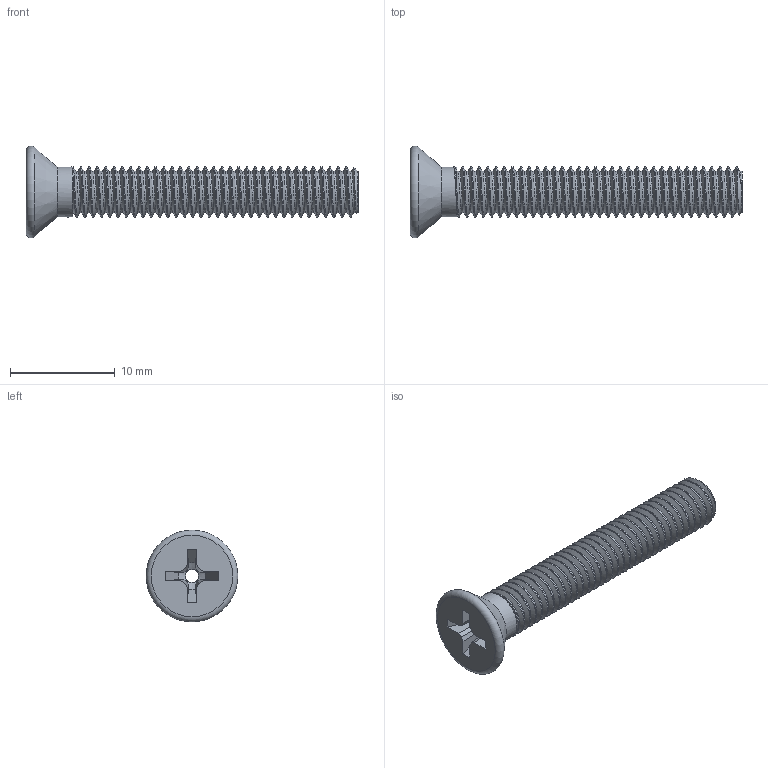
import cadquery as cq
import math


INCH = 25.4
total_length = 1.25 * INCH
head_diameter = 8.78
head_cone_half_angle = math.radians(82 / 2)
rim_radius = 0.5

pitch = INCH / 32
major_radius = 0.19 * INCH / 2
crest_width = pitch / 8
root_width = pitch / 4
flank_width = (pitch - crest_width - root_width) / 2
thread_depth = flank_width / math.tan(math.radians(30))
root_radius = major_radius - thread_depth
crest_x_at_plus_y = 5.04
start_turns = 1.25
turns_per_piece = 1
root_embed = 0.05
tip_radius = root_radius - 0.04

shank_radius = 2.38
shank_end = 4.45

wing_span = 5.16
wing_width = 0.93
wing_bottom_width = 0.65
wing_end_half_angle = math.radians(26.5)
wing_end_inner_radius = 1.27
recess_cone_half_angle = math.radians(62)
bore_diameter = 1.25
core_reach = 1.1
core_corner = 0.67
core_bottom_reach = 0.88
core_bottom_corner = 0.47


def head_and_shank():
    """Revolve the countersunk head with its rounded rim, and the plain shank."""
    rim_center_r = head_diameter / 2 - rim_radius
    tangent_x = rim_radius * (1 + math.sin(head_cone_half_angle))
    tangent_r = rim_center_r + rim_radius * math.cos(head_cone_half_angle)
    cone_end = tangent_x + (tangent_r - shank_radius) / math.tan(head_cone_half_angle)
    return (
        cq.Workplane("XY")
        .lineTo(0, rim_center_r)
        .threePointArc((rim_radius, head_diameter / 2), (tangent_x, tangent_r))
        .lineTo(cone_end, shank_radius)
        .lineTo(shank_end, shank_radius)
        .lineTo(shank_end, 0)
        .close()
        .revolve(360, (0, 0, 0), (1, 0, 0))
    )


def ridge_piece():
    """Build a short right-hand helical ridge about Z, from four ruled faces and two flat ends."""
    base_radius = root_radius - root_embed
    base_half = crest_width / 2 + flank_width * (1 + root_embed / thread_depth)
    section = [
        (-base_half, base_radius),
        (-crest_width / 2, major_radius),
        (crest_width / 2, major_radius),
        (base_half, base_radius),
    ]
    helices = [
        cq.Wire.makeHelix(pitch, turns_per_piece * pitch, radius).translate(cq.Vector(0, 0, offset))
        for offset, radius in section
    ]
    next_helices = helices[1:] + helices[:1]
    faces = [cq.Face.makeRuledSurface(a, b) for a, b in zip(helices, next_helices)]
    for end in (0, 1):
        corners = [helix.positionAt(end) for helix in helices]
        faces.append(cq.Face.makeFromWires(cq.Wire.makePolygon(corners, close=True)))
    return cq.Solid.makeSolid(cq.Shell.makeShell(faces))


def thread_envelope():
    """Outer limit of the threaded rod, with a 45 degree taper down to the root at the tip."""
    outer_radius = major_radius + root_embed
    return (
        cq.Workplane("XY")
        .lineTo(0, outer_radius)
        .lineTo(total_length - (outer_radius - tip_radius), outer_radius)
        .lineTo(total_length, tip_radius)
        .lineTo(total_length, 0)
        .close()
        .revolve(360, (0, 0, 0), (1, 0, 0))
        .val()
    )


def thread_pieces():
    """Line up ridge pieces end to end along X; the last two are trimmed by the tapered tip."""
    start_x = crest_x_at_plus_y - start_turns * pitch
    piece_length = turns_per_piece * pitch
    piece_count = math.ceil((total_length - start_x) / piece_length)

    axis_to_x = cq.Plane(origin=(start_x, 0, 0), xDir=(0, 1, 0), normal=(1, 0, 0))
    first = ridge_piece().moved(cq.Location(axis_to_x))
    first = first.rotate(cq.Vector(0, 0, 0), cq.Vector(1, 0, 0), -360 * start_turns)

    pieces = [first.moved(cq.Location(cq.Vector(i * piece_length, 0, 0))) for i in range(piece_count)]
    envelope = thread_envelope()
    trimmed = [piece.intersect(envelope) for piece in pieces[-2:]]
    return pieces[:-2] + trimmed


def core_cylinder():
    """Rod at the thread root, running the full length of the screw."""
    return cq.Workplane("YZ").circle(root_radius).extrude(total_length)


def core_outline(reach, half_width, corner):
    """Corner points, in order around the axis, of the recess middle with two facets per corner."""
    points = []
    for sign_y, sign_z in ((1, 1), (-1, 1), (-1, -1), (1, -1)):
        corner_points = [(reach, half_width), (corner, corner), (half_width, reach)]
        if sign_y != sign_z:
            corner_points.reverse()
        points += [(sign_y * y, sign_z * z) for y, z in corner_points]
    return points


def cross_recess():
    """Tapered four-wing recess with faceted inner corners and a conical bottom."""
    wing_depth = (wing_span / 2 - wing_end_inner_radius) / math.tan(wing_end_half_angle)
    bottom_drop = (wing_end_inner_radius - bore_diameter / 2) / math.tan(recess_cone_half_angle)
    depth = wing_depth + bottom_drop
    bottom_span = wing_span - 2 * depth * math.tan(wing_end_half_angle)
    wing = (
        cq.Workplane("YZ")
        .rect(wing_span, wing_width)
        .workplane(offset=depth)
        .rect(bottom_span, wing_bottom_width)
        .loft(ruled=True)
    )
    core = (
        cq.Workplane("YZ")
        .polyline(core_outline(core_reach, wing_width / 2, core_corner))
        .close()
        .workplane(offset=depth)
        .polyline(core_outline(core_bottom_reach, wing_bottom_width / 2, core_bottom_corner))
        .close()
        .loft(ruled=True)
    )
    cross = wing.union(wing.rotate((0, 0, 0), (1, 0, 0), 90)).union(core)
    cone_mouth_radius = bore_diameter / 2 + depth * math.tan(recess_cone_half_angle)
    bottom_limit = cq.Workplane(
        cq.Solid.makeCone(
            cone_mouth_radius, bore_diameter / 2, depth, cq.Vector(0, 0, 0), cq.Vector(1, 0, 0)
        )
    )
    return cross.intersect(bottom_limit)


bore = cq.Workplane("YZ").circle(bore_diameter / 2).extrude(total_length)
blank = head_and_shank().union(core_cylinder()).cut(cross_recess()).cut(bore)
screw = blank.val().fuse(*thread_pieces())
result = cq.Workplane(screw.Solids()[0])